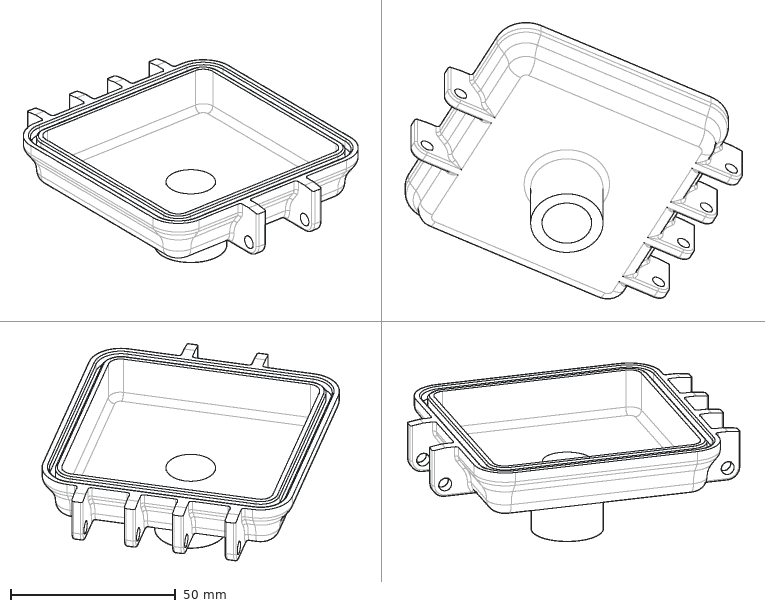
import cadquery as cq
import math

body_side = 78.0
corner_radius = 10.0
body_height = 16.0

lip_height = 3.0
lip_bend_radius = 2.3
waist_inset = 4.0
waist_bend_radius = 8.2
floor_round = 4.0

wall_thickness = 2.0
cavity_inset = waist_inset + wall_thickness
cavity_depth = body_height - wall_thickness
cavity_corner_radius = 3.8
cavity_floor_fillet = 2.0

groove_outer_inset = 2.2
groove_width = 1.9
groove_inner_inset = groove_outer_inset + groove_width
groove_depth = 3.0
groove_chamfer = 0.6

tube_diameter = 22.0
tube_bore = 15.0
tube_length = 20.0
tube_fillet = 2.0

tab_span = 94.0
tab_thickness = 3.5
tab_corner_radius = 4.0
tab_pin_diameter = 4.0
tab_top_drop = 0.6
tab_edge_round = 0.7
tab_root_fillet = 0.9
hinge_tab_positions = [-24.0, -7.5, 7.5, 24.0]
latch_tab_positions = [-11.0, 11.0]

half_side = body_side / 2
half_span = tab_span / 2


def rounded_block(inset, depth, radius, taper=0):
    """Square block hanging from the rim plane, its sides inset from the body outline."""
    side = body_side - 2 * inset
    outline = cq.Sketch().rect(side, side).vertices().fillet(radius)
    return cq.Workplane("XY").placeSketch(outline).extrude(-depth, taper=taper)


def slope_angle():
    """Angle between the slope and the vertical where it runs tangent to both bends."""
    waist_z = -(body_height - floor_round)
    drop = -lip_height - waist_z
    bend_sum = lip_bend_radius + waist_bend_radius
    center_gap = bend_sum - waist_inset
    center_distance = math.hypot(center_gap, drop)
    return math.atan2(drop, center_gap) - math.acos(bend_sum / center_distance)


def wall_section():
    """Half section of the body outside, in the XZ plane with x measured from the body centre."""
    slope = slope_angle()
    waist_x = half_side - waist_inset
    waist_z = -(body_height - floor_round)

    def lip_bend(angle):
        return (
            half_side - lip_bend_radius * (1 - math.cos(angle)),
            -lip_height - lip_bend_radius * math.sin(angle),
        )

    def waist_bend(angle):
        return (
            waist_x + waist_bend_radius * (1 - math.cos(angle)),
            waist_z + waist_bend_radius * math.sin(angle),
        )

    round_mid = (
        waist_x - floor_round * (1 - math.cos(math.pi / 4)),
        waist_z - floor_round * math.sin(math.pi / 4),
    )
    return (
        cq.Workplane("XZ")
        .moveTo(half_side - corner_radius, 0)
        .lineTo(half_side, 0)
        .lineTo(half_side, -lip_height)
        .threePointArc(lip_bend(slope / 2), lip_bend(slope))
        .lineTo(*waist_bend(slope))
        .threePointArc(waist_bend(slope / 2), (waist_x, waist_z))
        .threePointArc(round_mid, (waist_x - floor_round, -body_height))
        .lineTo(half_side - corner_radius, -body_height)
        .close()
    )


def make_body():
    """Sweep the wall section along the four sides and round the four corners."""
    core_side = 2 * (half_side - corner_radius)
    body = cq.Workplane("XY").rect(core_side, core_side).extrude(-body_height)
    side = wall_section().extrude(core_side / 2, both=True)
    axis = half_side - corner_radius
    corner = wall_section().revolve(90, (axis, 0, 0), (axis, 1, 0))
    corner = corner.translate((0, axis, 0))
    quarter = side.union(corner)
    for turn in range(4):
        body = body.union(quarter.rotate((0, 0, 0), (0, 0, 1), 90 * turn))
    return body


def make_tab(direction, y):
    """Flat tab with a rounded lower corner; direction is -1 toward -X and +1 toward +X."""
    tip = direction * half_span
    shoulder = direction * (half_span - tab_corner_radius)
    root = direction * (half_side - corner_radius)
    pin_z = tab_corner_radius - body_height
    arc_offset = tab_corner_radius * math.sin(math.pi / 4)
    tab = (
        cq.Workplane("XZ")
        .moveTo(root, 0)
        .lineTo(shoulder, 0)
        .lineTo(tip, -tab_top_drop)
        .lineTo(tip, pin_z)
        .threePointArc((shoulder + direction * arc_offset, pin_z - arc_offset), (shoulder, -body_height))
        .lineTo(root, -body_height)
        .close()
        .extrude(tab_thickness / 2, both=True)
    )
    tip_face = "<X" if direction < 0 else ">X"
    tab = tab.faces(tip_face).edges("|Z").fillet(tab_edge_round)
    pin_hole = (
        cq.Workplane("XZ")
        .center(shoulder, pin_z)
        .circle(tab_pin_diameter / 2)
        .extrude(tab_thickness, both=True)
    )
    return tab.cut(pin_hole).translate((0, y, 0))


def tab_root_region(direction, y):
    """Box around the edges where the two sides of a tab meet the outer wall."""
    margin = 0.1
    half_width = tab_thickness / 2 + margin
    return cq.selectors.BoxSelector(
        (direction * (half_side - corner_radius), y - half_width, -body_height + margin),
        (direction * (half_side + margin), y + half_width, margin),
        boundingbox=True,
    )


def make_tube():
    """Outlet tube with a fillet flaring into the underside of the body."""
    radius = tube_diameter / 2
    bottom = -(body_height + tube_length)
    flare_mid = tube_fillet * (1 - math.cos(math.pi / 4))
    return (
        cq.Workplane("XZ")
        .moveTo(0, bottom)
        .lineTo(radius, bottom)
        .lineTo(radius, -body_height - tube_fillet)
        .threePointArc(
            (radius + flare_mid, -body_height - flare_mid),
            (radius + tube_fillet, -body_height),
        )
        .lineTo(0, -body_height)
        .close()
        .revolve(360, (0, 0, 0), (0, 1, 0))
    )


def make_cavity():
    """Pocket of the dish with a rounded floor edge."""
    pocket = rounded_block(cavity_inset, cavity_depth, cavity_corner_radius)
    return pocket.faces("<Z").edges().fillet(cavity_floor_fillet)


def make_groove():
    """Seal groove around the rim, chamfered along both of its top edges."""
    groove = rounded_block(groove_outer_inset, groove_depth, corner_radius - groove_outer_inset)
    mouth_inset = groove_outer_inset - groove_chamfer
    mouth = rounded_block(mouth_inset, groove_chamfer, corner_radius - mouth_inset, taper=45)
    island = rounded_block(groove_inner_inset, groove_depth, corner_radius - groove_inner_inset)
    island = island.faces(">Z").chamfer(groove_chamfer)
    return groove.union(mouth).cut(island)


def make_bore():
    """Straight hole through the body floor and the tube."""
    return cq.Workplane("XY").circle(tube_bore / 2).extrude(-(body_height + tube_length))


result = make_body()
tab_places = [(-1, y) for y in hinge_tab_positions] + [(1, y) for y in latch_tab_positions]
for place in tab_places:
    result = result.union(make_tab(*place))
root_edges = [edge for place in tab_places for edge in result.edges(tab_root_region(*place)).vals()]
result = result.newObject(root_edges).fillet(tab_root_fillet)
result = result.union(make_tube())
result = result.cut(make_cavity()).cut(make_groove()).cut(make_bore())